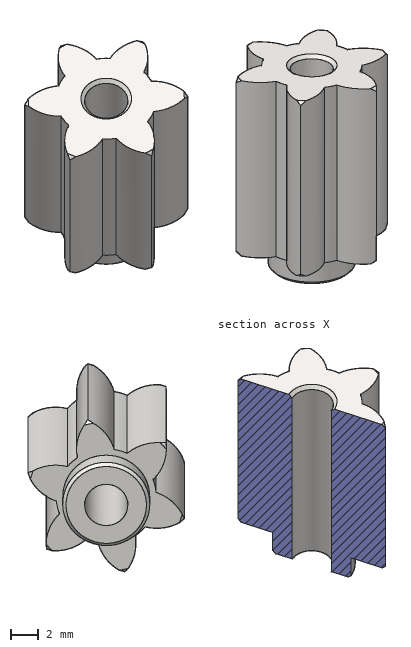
import cadquery as cq
import math

total_height = 16.29
boss_height = 2.0
gear_height = total_height - boss_height

tooth_count = 6
tip_diameter = 11.88
tip_radius = tip_diameter / 2
root_radius = 3.63
root_half_angle = math.radians(7.8)
flank_mid_x = 1.09
flank_mid_y = 4.58
tip_chamfer = 0.28

boss_diameter = 6.32
boss_chamfer = 0.25
bore_diameter = 3.13
bore_mouth_diameter = 3.67
bore_chamfer = (bore_mouth_diameter - bore_diameter) / 2

pitch_angle = 2 * math.pi / tooth_count


def polar(radius, angle):
    return (radius * math.cos(angle), radius * math.sin(angle))


def tooth_point(x, y, axis_angle):
    """Place a point of an upright tooth on the tooth whose axis is at axis_angle."""
    return polar(math.hypot(x, y), axis_angle + math.atan2(y, x) - math.pi / 2)


def gear_profile():
    """Pointed teeth with arc flanks, joined by arcs of the root circle."""
    first_axis = math.pi / 2
    first_gap = first_axis - pitch_angle / 2
    outline = cq.Workplane("XY").moveTo(*polar(root_radius, first_gap + root_half_angle))
    for tooth in range(tooth_count):
        axis = first_axis + tooth * pitch_angle
        gap = axis + pitch_angle / 2
        outline = (
            outline
            .threePointArc(tooth_point(flank_mid_x, flank_mid_y, axis), polar(tip_radius, axis))
            .threePointArc(
                tooth_point(-flank_mid_x, flank_mid_y, axis),
                polar(root_radius, gap - root_half_angle),
            )
            .threePointArc(polar(root_radius, gap), polar(root_radius, gap + root_half_angle))
        )
    return outline.close()


def make_gear():
    """Extruded teeth, with both ends of the tips bevelled by a chamfered cylinder."""
    teeth = gear_profile().extrude(gear_height)
    envelope = (
        cq.Workplane("XY")
        .circle(tip_radius)
        .extrude(gear_height)
        .faces("<Z or >Z")
        .edges()
        .chamfer(tip_chamfer)
    )
    return teeth.intersect(envelope).translate((0, 0, boss_height))


def make_boss():
    """Round boss below the gear, chamfered at its free end."""
    return (
        cq.Workplane("XY")
        .circle(boss_diameter / 2)
        .extrude(boss_height)
        .faces("<Z")
        .edges()
        .chamfer(boss_chamfer)
    )


def make_bore():
    """Through bore, widened by a conical chamfer at the top."""
    bore_radius = bore_diameter / 2
    return (
        cq.Workplane("XZ")
        .lineTo(bore_radius, 0)
        .lineTo(bore_radius, total_height - bore_chamfer)
        .lineTo(bore_mouth_diameter / 2, total_height)
        .lineTo(0, total_height)
        .close()
        .revolve(360, (0, 0), (0, 1))
    )


result = make_gear().union(make_boss()).cut(make_bore())